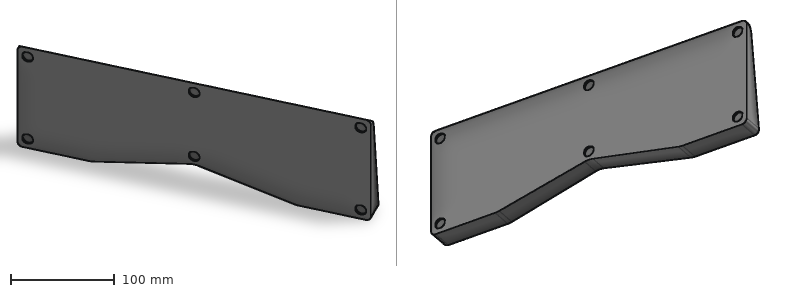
import cadquery as cq

length = 361.7
height = 120.0
base_depth = 22.8

shoulder_depth = 8.7
shoulder_drop = 12.5
top_arc_radius = 16.3

corner_radius = 5.5
notch_half_width = 105.0
notch_apex_height = 23.0
notch_apex_radius = 21.7
notch_end_radius = 21.7

foot_diameter = 11.2
foot_recess_depth = 2.0
foot_inset_x = 10.5
foot_inset_z = 11.0
center_foot_height = 32.5


def make_wedge():
    """Side profile with a rounded upper edge, extruded along X."""
    return (
        cq.Workplane("YZ", origin=(-length / 2, 0, 0))
        .moveTo(0, 0)
        .lineTo(base_depth, 0)
        .lineTo(shoulder_depth, height - shoulder_drop)
        .radiusArc((0, height), -top_arc_radius)
        .close()
        .extrude(length)
    )


def round_upright_edge(plate, x, z, radius):
    """Fillet the edge running along Y through the given X and Z."""
    middle = (x, base_depth / 2, z)
    return plate.edges("|Y").edges(cq.selectors.NearestToPointSelector(middle)).fillet(radius)


def make_outline():
    """Rounded plate outline with a shallow V notch in its lower edge."""
    plate = (
        cq.Workplane("XZ")
        .moveTo(-length / 2, 0)
        .lineTo(-notch_half_width, 0)
        .lineTo(0, notch_apex_height)
        .lineTo(notch_half_width, 0)
        .lineTo(length / 2, 0)
        .lineTo(length / 2, height)
        .lineTo(-length / 2, height)
        .close()
        .extrude(-base_depth)
    )
    plate = plate.edges("|Y").edges("<X or >X").fillet(corner_radius)
    plate = round_upright_edge(plate, 0, notch_apex_height, notch_apex_radius)
    for end_x in (-notch_half_width, notch_half_width):
        plate = round_upright_edge(plate, end_x, 0, notch_end_radius)
    return plate


def make_foot_recesses():
    """Discs cut into the flat face: one per corner and two on the center line."""
    side_x = length / 2 - foot_inset_x
    upper_z = height - foot_inset_z
    centers = [(x, z) for x in (-side_x, side_x) for z in (foot_inset_z, upper_z)]
    centers += [(0, center_foot_height), (0, upper_z)]
    return (
        cq.Workplane("XZ")
        .pushPoints(centers)
        .circle(foot_diameter / 2)
        .extrude(-foot_recess_depth)
    )


result = make_wedge().intersect(make_outline()).cut(make_foot_recesses())